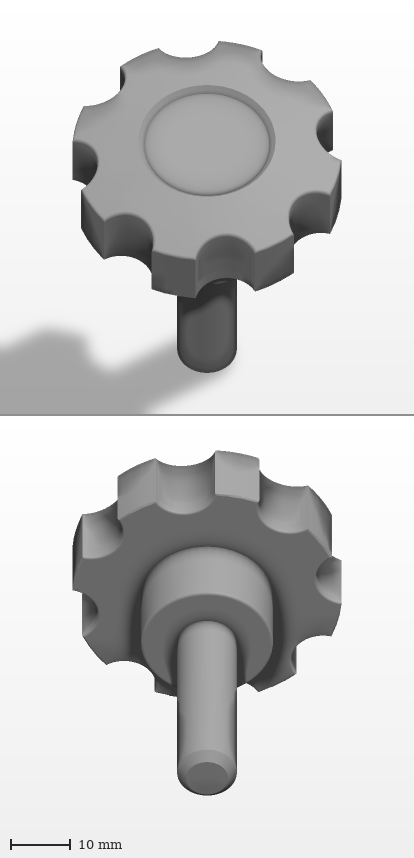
import cadquery as cq
import math

total_height = 61.2
head_bottom = 47.1
hub_bottom = 35.0

head_radius = 22.5
dome_radius = 75.25
notch_count = 8
notch_width = 10.0
notch_radius = 5.3
top_fillet = 0.5
bottom_fillet = 0.35

recess_rim_radius = 11.45
recess_depth = 1.05
recess_floor_radius = recess_rim_radius - recess_depth

hub_diameter = 22.0
hub_fillet = 0.5
stud_diameter = 10.0
stud_chamfer = 1.45


def dome_height(radius):
    """Height of the spherical crown at a distance from the axis."""
    centre_height = total_height - math.sqrt(dome_radius**2 - recess_rim_radius**2)
    return centre_height + math.sqrt(dome_radius**2 - radius**2)


def make_domed_disc():
    """Disc whose crown is a sphere, cut flat at the recess rim."""
    mid_radius = (recess_rim_radius + head_radius) / 2
    return (
        cq.Workplane("XZ")
        .moveTo(0, head_bottom)
        .lineTo(head_radius, head_bottom)
        .lineTo(head_radius, dome_height(head_radius))
        .threePointArc(
            (mid_radius, dome_height(mid_radius)),
            (recess_rim_radius, total_height),
        )
        .lineTo(0, total_height)
        .close()
        .revolve(360, (0, 0), (0, 1))
    )


def make_notches():
    """Ring of cylinders that meet the rim over the width of a notch."""
    half_width = notch_width / 2
    corner_distance = math.sqrt(head_radius**2 - half_width**2)
    centre_distance = corner_distance + math.sqrt(notch_radius**2 - half_width**2)
    return (
        cq.Workplane("XY", origin=(0, 0, head_bottom))
        .polarArray(centre_distance, 0, 360, notch_count)
        .circle(notch_radius)
        .extrude(total_height - head_bottom)
    )


def make_recess():
    """Tapered plug that cuts the recess in the crown."""
    return (
        cq.Workplane("XY", origin=(0, 0, total_height))
        .circle(recess_rim_radius)
        .workplane(offset=-recess_depth)
        .circle(recess_floor_radius)
        .loft(ruled=True)
    )


def make_head():
    """Notched head, rounded along its top and bottom outlines."""
    notched = make_domed_disc().cut(make_notches())
    rounded = notched.faces("<Z").edges().fillet(bottom_fillet)
    rounded = rounded.faces("%SPHERE").edges("not(>Z)").fillet(top_fillet)
    return rounded.cut(make_recess())


def make_hub():
    """Plain hub below the head, rounded at its lower edge."""
    return (
        cq.Workplane("XY", origin=(0, 0, hub_bottom))
        .circle(hub_diameter / 2)
        .extrude(head_bottom - hub_bottom)
        .faces("<Z")
        .edges()
        .fillet(hub_fillet)
    )


def make_stud():
    """Smooth stud with a chamfered tip."""
    return (
        cq.Workplane("XY")
        .circle(stud_diameter / 2)
        .extrude(hub_bottom)
        .faces("<Z")
        .edges()
        .chamfer(stud_chamfer)
    )


result = make_head().union(make_hub()).union(make_stud())